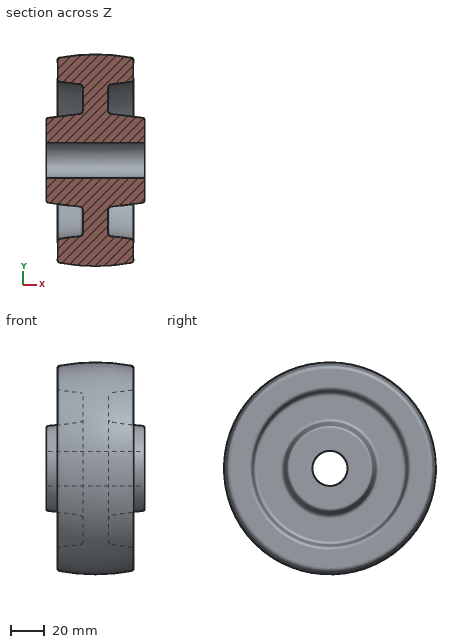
import cadquery as cq
import math

wheel_radius = 62.5
rim_width = 45.0
hub_length = 58.0
web_thickness = 15.0
bore_diameter = 20.5
crown_radius = 112.5
hub_tip_radius = 25.0
recess_mouth_radius = 46.4
draft_angle = 7.0
hub_tip_fillet = 1.5
body_fillet = 2.0

half_rim = rim_width / 2
half_hub = hub_length / 2
half_web = web_thickness / 2
draft = math.tan(math.radians(draft_angle))

hub_root_radius = hub_tip_radius + (half_hub - half_web) * draft
recess_floor_radius = recess_mouth_radius - (half_rim - half_web) * draft
tread_edge_radius = wheel_radius - crown_radius + math.sqrt(crown_radius**2 - half_rim**2)


def revolve_about_axle(profile):
    return profile.close().revolve(360, (0, 0, 0), (1, 0, 0))


def corner_edges(body, x, radius):
    """Circular edges at distance x either side of the middle, with the given radius."""
    tolerance = 0.01

    def matches(edge):
        if edge.geomType() != "CIRCLE":
            return False
        at_x = abs(abs(edge.Center().x) - x) < tolerance
        return at_x and abs(edge.radius() - radius) < tolerance

    return body.newObject([edge for edge in body.edges().vals() if matches(edge)])


wheel = revolve_about_axle(
    cq.Workplane("XY")
    .moveTo(-half_hub, 0)
    .lineTo(-half_hub, hub_tip_radius)
    .lineTo(-half_web, hub_root_radius)
    .lineTo(-half_web, recess_floor_radius)
    .lineTo(-half_rim, recess_mouth_radius)
    .lineTo(-half_rim, tread_edge_radius)
    .threePointArc((0, wheel_radius), (half_rim, tread_edge_radius))
    .lineTo(half_rim, recess_mouth_radius)
    .lineTo(half_web, recess_floor_radius)
    .lineTo(half_web, hub_root_radius)
    .lineTo(half_hub, hub_tip_radius)
    .lineTo(half_hub, 0)
)

rounded_corners = [
    (half_hub, hub_tip_radius, hub_tip_fillet),
    (half_web, hub_root_radius, body_fillet),
    (half_web, recess_floor_radius, body_fillet),
    (half_rim, recess_mouth_radius, body_fillet),
    (half_rim, tread_edge_radius, body_fillet),
]
for corner_x, corner_radius, fillet in rounded_corners:
    wheel = corner_edges(wheel, corner_x, corner_radius).fillet(fillet)

bore = cq.Workplane("YZ").circle(bore_diameter / 2).extrude(half_hub, both=True)

result = wheel.cut(bore)